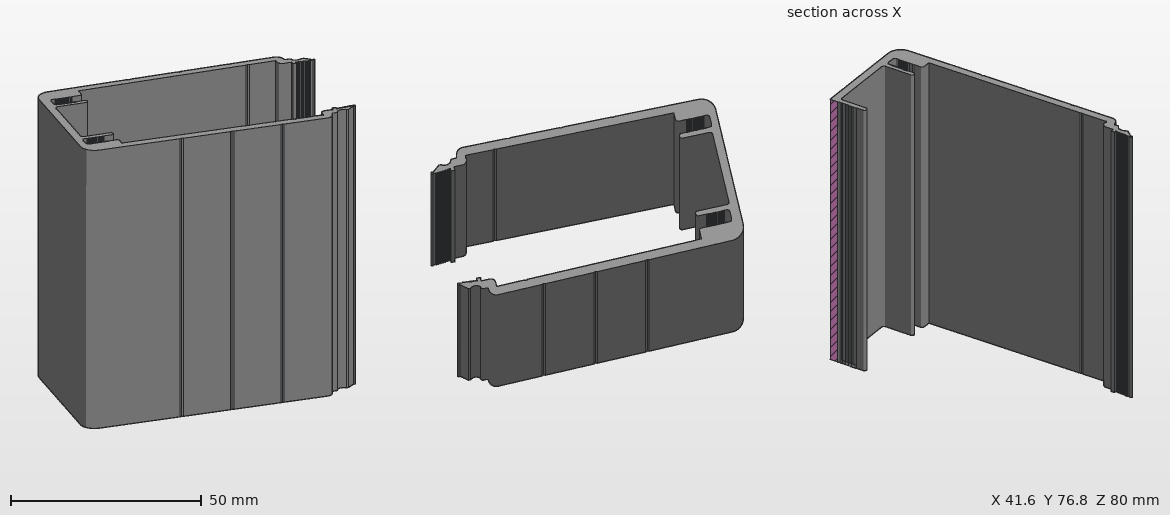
import cadquery as cq
import math

length = 80.0
width = 41.6
depth = 76.8

wall = 2.3
corner_radius = 3.9
shoulder_half_width = width / 2
foot_half_width = 19.9
flare_top = 67.1
flare_slope = (shoulder_half_width - foot_half_width) / (flare_top - corner_radius)

shoulder_y = 69.2
shoulder_radius = shoulder_y - flare_top
cove_radius = 0.4
step_radius = 0.7
step_x = 18.3
step_top_y = 71.1
barb_x = 17.4
barb_low_y = 73.7
barb_high_y = 74.3
neck_outer_x = 17.0
neck_outer_y = 72.3
tip_outer_x = 15.8
tip_side_y = 76.2
tip_inner_x = 15.4
neck_inner_x = 15.8
clip_inner_x = 16.1
bead_x = 15.1
bead_low_y = 70.5
bead_high_y = 71.5
lobe_y = 66.9
lobe_radius = 1.4

slot_width = 3.4
slot_depth = 9.0
fin_thickness = 1.4
slot_radius = 0.8
block_radius = 0.6
fin_root_radius = 0.8
left_slot_x = 14.8
left_slot_floor = 2.6
right_slot_x = 15.2
right_slot_floor = 2.0

tooth_height = 0.2
tooth_pitch = 0.5
slot_tooth_count = 10
teeth_above_floor = 1.6
clip_tooth_count = 8
clip_teeth_start = 72.0

groove_width = 1.0
groove_depth = 0.2
outer_groove_first_y = 26.7
outer_groove_pitch = 14.0
outer_groove_count = 3
inner_groove_y = 59.0

vee_overlap = 0.1


def outer_wall_x(y):
    """Outer face of the flared side wall at height y."""
    return foot_half_width + flare_slope * (y - corner_radius)


def inner_wall_x(y):
    """Inner face of the flared side wall at height y."""
    return outer_wall_x(y) - wall


def prism(points):
    """Full-length prism with a polygonal cross-section."""
    return cq.Workplane("XY").polyline(points).close().extrude(length)


def vee(x, y, half_width, peak):
    """Full-length triangular prism on the face at x, with its ridge at x + peak.

    The base is set back behind the face so that the prism joins it fully.
    """
    base_x = x - math.copysign(vee_overlap, peak)
    return prism([(base_x, y - half_width), (base_x, y + half_width), (x, y + half_width),
                  (x + peak, y), (x, y - half_width)])


def half_section(slot_x, slot_floor):
    """Right half of the channel, from the middle plane to the +X wall."""
    slot_top = slot_floor + slot_depth
    fin_x = slot_x - slot_width
    fin_inner_x = fin_x - fin_thickness
    fin_radius = fin_thickness / 2

    outline = (
        cq.Workplane("XY")
        .moveTo(0, 0)
        .lineTo(foot_half_width - corner_radius, 0)
        .radiusArc((foot_half_width, corner_radius), -corner_radius)
        .lineTo(shoulder_half_width, flare_top)
        .radiusArc((shoulder_half_width - shoulder_radius, shoulder_y), -shoulder_radius)
        .radiusArc((step_x, shoulder_y + cove_radius), cove_radius)
        .lineTo(step_x, step_top_y - step_radius)
        .radiusArc((step_x - step_radius, step_top_y), -step_radius)
        .threePointArc((neck_outer_x, neck_outer_y), (barb_x, barb_low_y))
        .lineTo(barb_x, barb_high_y)
        .lineTo(tip_outer_x, tip_side_y)
        .threePointArc(((tip_outer_x + tip_inner_x) / 2, depth), (tip_inner_x, tip_side_y))
        .lineTo(neck_inner_x, bead_high_y)
        .lineTo(bead_x, bead_high_y)
        .lineTo(bead_x, bead_low_y)
        .lineTo(clip_inner_x, bead_low_y)
        .lineTo(clip_inner_x, lobe_y + lobe_radius)
        .radiusArc((clip_inner_x + lobe_radius, lobe_y), -lobe_radius)
        .lineTo(inner_wall_x(lobe_y), lobe_y)
        .lineTo(inner_wall_x(slot_top), slot_top)
        .lineTo(slot_x + block_radius, slot_top)
        .radiusArc((slot_x, slot_top - block_radius), -block_radius)
        .lineTo(slot_x, slot_floor + slot_radius)
        .radiusArc((slot_x - slot_radius, slot_floor), slot_radius)
        .lineTo(fin_x + slot_radius, slot_floor)
        .radiusArc((fin_x, slot_floor + slot_radius), slot_radius)
        .lineTo(fin_x, slot_top - fin_radius)
        .threePointArc((fin_x - fin_radius, slot_top), (fin_inner_x, slot_top - fin_radius))
        .lineTo(fin_inner_x, wall + fin_root_radius)
        .radiusArc((fin_inner_x - fin_root_radius, wall), fin_root_radius)
        .lineTo(0, wall)
        .close()
    )
    return outline.extrude(length)


def add_slot_teeth(body, slot_x, slot_floor):
    """Small V teeth reaching into the slot from the block and from the fin."""
    for i in range(slot_tooth_count):
        y = slot_floor + teeth_above_floor + i * tooth_pitch
        body = body.union(vee(slot_x, y, tooth_pitch / 2, -tooth_height))
        body = body.union(vee(slot_x - slot_width, y, tooth_pitch / 2, tooth_height))
    return body


def add_clip_teeth(body):
    """Small V teeth on the sloping inner face of the clip."""
    slope = (tip_inner_x - neck_inner_x) / (tip_side_y - bead_high_y)
    for i in range(clip_tooth_count):
        y = clip_teeth_start + i * tooth_pitch
        x = neck_inner_x + slope * (y - bead_high_y)
        body = body.union(vee(x, y, tooth_pitch / 2, -tooth_height))
    return body


def cut_wall_grooves(body):
    """Three V grooves in the outer face and one in the inner face of the side wall."""
    for i in range(outer_groove_count):
        y = outer_groove_first_y + i * outer_groove_pitch
        body = body.cut(vee(outer_wall_x(y), y, groove_width / 2, -groove_depth))
    inner_x = inner_wall_x(inner_groove_y)
    return body.cut(vee(inner_x, inner_groove_y, groove_width / 2, groove_depth))


def channel_half(slot_x, slot_floor):
    body = half_section(slot_x, slot_floor)
    body = add_slot_teeth(body, slot_x, slot_floor)
    body = add_clip_teeth(body)
    return cut_wall_grooves(body)


right_half = channel_half(right_slot_x, right_slot_floor)
left_half = channel_half(left_slot_x, left_slot_floor).mirror("YZ")
result = right_half.union(left_half).clean()